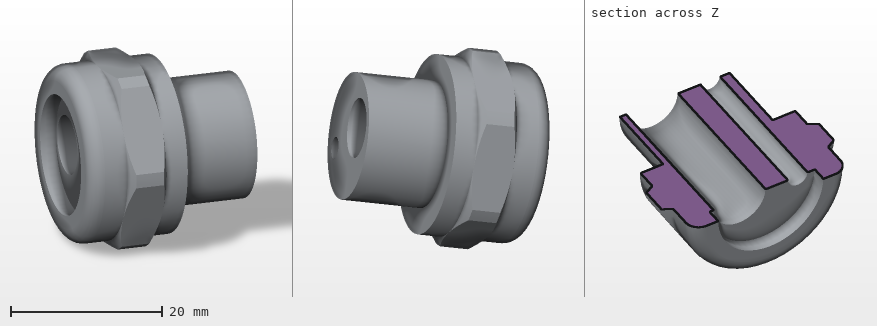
import cadquery as cq
import math

total_length = 24.6
nut_length = 13.6
hex_start = 5.13
hex_length = 5.45

across_flats = 24.0
hex_corner_diameter = 26.7
hex_chamfer_angle = 30.0
front_fillet = 2.0

spigot_diameter = 17.0
recess_diameter = 16.23
recess_depth = 2.2
large_hole_diameter = 8.0
large_hole_x = -3.5
small_hole_diameter = 3.0
small_hole_x = 5.5


def cylinder(diameter, start, length, x=0):
    """Cylinder along +Y that begins at Y = start."""
    plane = cq.Workplane("XZ", origin=(x, start, 0))
    return plane.circle(diameter / 2).extrude(-length)


def chamfered_hexagon():
    """Hexagon with turned corners and a conical chamfer at both ends."""
    prism = (
        cq.Workplane("XZ", origin=(0, hex_start, 0))
        .polygon(6, across_flats / math.cos(math.pi / 6))
        .extrude(-hex_length)
    )
    chamfer_radial = (hex_corner_diameter - across_flats) / 2
    chamfer_axial = chamfer_radial * math.tan(math.radians(hex_chamfer_angle))
    hex_end = hex_start + hex_length
    inner_radius = across_flats / 2
    outer_radius = hex_corner_diameter / 2
    envelope = (
        cq.Workplane("XY")
        .moveTo(0, hex_start)
        .lineTo(inner_radius, hex_start)
        .lineTo(outer_radius, hex_start + chamfer_axial)
        .lineTo(outer_radius, hex_end - chamfer_axial)
        .lineTo(inner_radius, hex_end)
        .lineTo(0, hex_end)
        .close()
        .revolve(360, (0, 0, 0), (0, 1, 0))
    )
    return prism.intersect(envelope)


nut = cylinder(across_flats, 0, nut_length).faces("<Y").edges().fillet(front_fillet)
spigot = cylinder(spigot_diameter, nut_length, total_length - nut_length)
result = nut.union(chamfered_hexagon()).union(spigot)

result = result.cut(cylinder(recess_diameter, 0, recess_depth))

for diameter, x in ((large_hole_diameter, large_hole_x), (small_hole_diameter, small_hole_x)):
    result = result.cut(cylinder(diameter, 0, total_length, x))